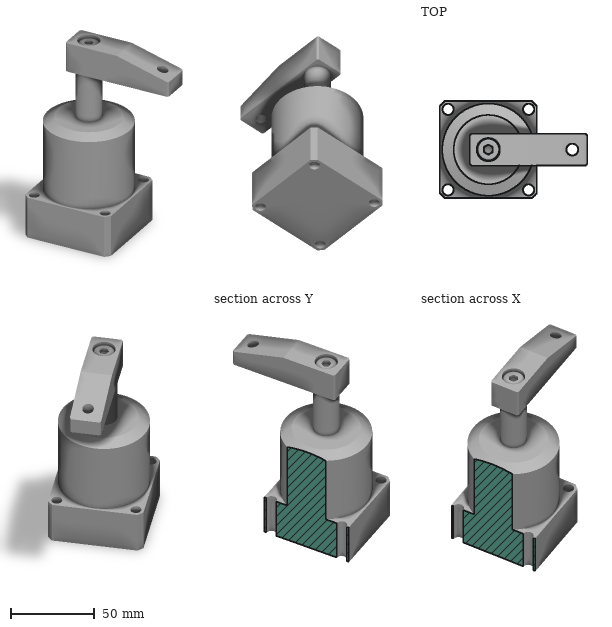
import cadquery as cq
import math

total_height = 126.0

base_width = 58.0
base_height = 26.8
base_corner_chamfer = 3.0
mount_hole_spacing = 48.0
mount_hole_diameter = 6.5
barrel_diameter = 54.9
barrel_top = 75.0
bevel_width = 6.8
bevel_height = 3.0

arm_width = 19.0
arm_height = 19.0
arm_bottom = total_height - arm_height
arm_back = -11.0
arm_tip = 59.0
arm_tip_height = 9.7
slope_start = 24.1
arm_corner_chamfer = 1.0
tip_hole_x = 50.0
tip_hole_diameter = 6.9

rod_diameter = 16.0

counterbore_diameter = 13.9
head_diameter = 13.0
head_height = 8.0
head_recess = 1.5
head_top = total_height - head_recess
head_seat = head_top - head_height
head_rim_radius = 1.3
shank_diameter = 8.0
shank_depth_in_rod = 12.0
shank_bottom = arm_bottom - shank_depth_in_rod
socket_sides = 6
socket_flats = 5.3
socket_corner_diameter = socket_flats / math.cos(math.pi / socket_sides)
socket_depth = 2.5
socket_corner_radius = 0.8
socket_cone_depth = 1.0
socket_turn = 180 / socket_sides


def cylinder(diameter, bottom, top):
    """Upright cylinder on the clamp axis."""
    return cq.Workplane("XY").workplane(offset=bottom).circle(diameter / 2).extrude(top - bottom)


def make_housing():
    base = (
        cq.Workplane("XY")
        .rect(base_width, base_width)
        .extrude(base_height)
        .edges("|Z")
        .chamfer(base_corner_chamfer)
    )
    barrel = (
        cylinder(barrel_diameter, base_height, barrel_top)
        .faces(">Z")
        .chamfer(bevel_height, bevel_width)
    )
    mount_holes = (
        cq.Workplane("XY")
        .rect(mount_hole_spacing, mount_hole_spacing, forConstruction=True)
        .vertices()
        .circle(mount_hole_diameter / 2)
        .extrude(base_height)
    )
    return base.cut(mount_holes).union(barrel)


def make_rod():
    rod = cylinder(rod_diameter, barrel_top, arm_bottom)
    return rod.cut(cylinder(shank_diameter, shank_bottom, arm_bottom))


def make_arm():
    side_outline = [
        (arm_back, arm_bottom),
        (arm_tip, arm_bottom),
        (arm_tip, arm_bottom + arm_tip_height),
        (slope_start, total_height),
        (arm_back, total_height),
    ]
    arm = (
        cq.Workplane("XZ")
        .polyline(side_outline)
        .close()
        .extrude(arm_width / 2, both=True)
        .edges("|Z")
        .chamfer(arm_corner_chamfer)
    )
    tip_hole = cylinder(tip_hole_diameter, arm_bottom, total_height).translate((tip_hole_x, 0, 0))
    counterbore = cylinder(counterbore_diameter, head_seat, total_height)
    shank_hole = cylinder(shank_diameter, arm_bottom, head_seat)
    return arm.cut(tip_hole).cut(counterbore).cut(shank_hole)


def make_screw():
    head = (
        cylinder(head_diameter, head_seat, head_top)
        .faces(">Z")
        .edges()
        .fillet(head_rim_radius)
    )
    shank = cylinder(shank_diameter, shank_bottom, head_seat)

    socket_floor = head_top - socket_depth
    socket = (
        cq.Workplane("XY")
        .workplane(offset=socket_floor)
        .polygon(socket_sides, socket_corner_diameter)
        .extrude(socket_depth)
        .edges("|Z")
        .fillet(socket_corner_radius)
        .rotate((0, 0, 0), (0, 0, 1), socket_turn)
    )
    drill_point = cq.Solid.makeCone(
        socket_flats / 2, 0, socket_cone_depth, pnt=(0, 0, socket_floor), dir=(0, 0, -1)
    )
    return head.union(shank).cut(socket).cut(cq.Workplane(drill_point))


housing = make_housing()
rod = make_rod()
arm = make_arm()
screw = make_screw()

result = cq.Compound.makeCompound([housing.val(), rod.val(), arm.val(), screw.val()])